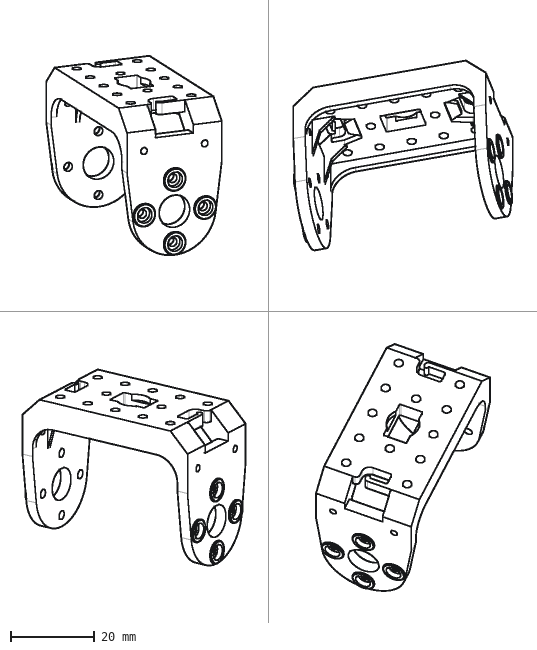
import cadquery as cq
import math

length = 48.8
width = 25.0
height = 37.0

boss_height = 0.4
leg_thickness = 3.0
body_half = length / 2 - boss_height
leg_inner = body_half - leg_thickness
leg_end_radius = 11.0
taper_top = -15.0
pivot_z = leg_end_radius - height
pivot_hole_radius = 4.0

bar_depth = 7.0
plate_thickness = 4.5
inner_corner_radius = 6.0
chamfer_run = 5.0
chamfer_drop = 4.9
plate_edge = body_half - chamfer_run
rim_width = 1.5

window_half = 5.0
gusset_width = 1.0
gusset_angle = 15.0
gusset_break = -8.2

pitch = 8.0
hole_radius = 1.05
small_hole_radius = 0.85
small_hole_z = -9.95
boss_radius = 2.9
boss_chamfer = 0.2
bore_radius = 1.9
bore_depth = 1.4

opening_length = 9.95
opening_width = 6.0
opening_corner = 0.25
recess_radius = 4.0
recess_depth = 1.5

hook_thickness = 3.0
slot_half = 3.5
slot_inner = 14.85
arm_width = 1.15
arm_tip = -2.1
tip_round = 1.0
bead_radius = 0.6
slot_corner = 0.5
slot_round = 2.0
mouth_round = 1.0

pocket_end = 11.2
pocket_flare_angle = 73.0
pad_front_half = 1.85
pad_flare_angle = 60.0
pad_bottom = 3.95


def cylinder_z(x, y, radius, depth):
    return cq.Workplane("XY").center(x, y).circle(radius).extrude(-depth)


def cylinder_x(y, z, radius, start, end):
    return cq.Workplane("YZ", origin=(start, 0, 0)).center(y, z).circle(radius).extrude(end - start)


def both_ends(solid):
    """The solid together with its mirror image across X = 0."""
    return solid.union(solid.mirror("YZ"))


def box(x0, x1, y0, y1, z0, z1):
    return cq.Workplane("XY").box(x1 - x0, y1 - y0, z1 - z0, centered=False).translate((x0, y0, z0))


def extrude_y(profile, y0, y1):
    """Extrude an XZ profile (its workplane normal is -Y) from y0 to y1."""
    return profile.extrude(y0 - y1).translate((0, y0, 0))


def u_profile():
    return (
        cq.Workplane("XZ")
        .moveTo(-body_half, -height)
        .lineTo(-body_half, -chamfer_drop)
        .lineTo(-plate_edge, 0)
        .lineTo(plate_edge, 0)
        .lineTo(body_half, -chamfer_drop)
        .lineTo(body_half, -height)
        .lineTo(leg_inner, -height)
    )


def make_frame():
    """Deep rims along both long sides and a thinner plate between them."""
    bend = inner_corner_radius
    rim_section = (
        u_profile()
        .lineTo(leg_inner, -bar_depth - bend)
        .radiusArc((leg_inner - bend, -bar_depth), -bend)
        .lineTo(bend - leg_inner, -bar_depth)
        .radiusArc((-leg_inner, -bar_depth - bend), -bend)
        .lineTo(-leg_inner, -height)
        .close()
    )
    frame = extrude_y(rim_section, -width / 2, width / 2)
    hollow_half = width / 2 - rim_width
    hollow = box(-leg_inner, leg_inner, -hollow_half, hollow_half, -height, -plate_thickness)
    return frame.cut(hollow)


def leg_outline():
    """Side outline: straight, then tapering tangentially into the round end."""
    half = width / 2
    rise = taper_top - pivot_z
    reach = math.hypot(half, rise)
    angle = math.atan2(rise, half) - math.acos(leg_end_radius / reach)
    tangent_y = leg_end_radius * math.cos(angle)
    tangent_z = pivot_z + leg_end_radius * math.sin(angle)
    return (
        cq.Workplane("YZ", origin=(-length / 2, 0, 0))
        .moveTo(-half, 0)
        .lineTo(-half, taper_top)
        .lineTo(-tangent_y, tangent_z)
        .threePointArc((0, -height), (tangent_y, tangent_z))
        .lineTo(half, taper_top)
        .lineTo(half, 0)
        .close()
        .extrude(length)
    )


def make_gussets():
    break_x = leg_inner - (gusset_break - taper_top) * math.tan(math.radians(gusset_angle))
    top_x = break_x - (-plate_thickness - gusset_break)
    profile = (
        cq.Workplane("XZ")
        .moveTo(leg_inner, taper_top)
        .lineTo(break_x, gusset_break)
        .lineTo(top_x, -plate_thickness)
        .lineTo(leg_inner, -plate_thickness)
        .close()
    )
    gusset = extrude_y(profile, window_half, window_half + gusset_width)
    return both_ends(gusset.union(gusset.mirror("XZ")))


def make_windows():
    """Openings through the bevelled corners, and the tapered pockets below the hooks."""
    window = box(plate_edge, length / 2, -window_half, window_half, -bar_depth, 0)
    pocket_slope = math.tan(math.radians(pocket_flare_angle))
    pad_slope = math.tan(math.radians(pad_flare_angle))
    pocket_taper_start = pocket_end + (window_half - slot_half) * pocket_slope
    pad_front = pocket_end + (slot_half - pad_front_half) * pad_slope
    pocket_depth = plate_thickness - hook_thickness
    pocket = (
        cq.Workplane("XY", origin=(0, 0, -plate_thickness))
        .moveTo(plate_edge, -window_half)
        .lineTo(pocket_taper_start, -window_half)
        .lineTo(pocket_end, -slot_half)
        .lineTo(pocket_end, slot_half)
        .lineTo(pocket_taper_start, window_half)
        .lineTo(plate_edge, window_half)
        .close()
        .extrude(pocket_depth)
    )
    pad = (
        cq.Workplane("XY", origin=(0, 0, -pad_bottom))
        .moveTo(pocket_end, -slot_half)
        .lineTo(pad_front, -pad_front_half)
        .lineTo(pad_front, pad_front_half)
        .lineTo(pocket_end, slot_half)
        .close()
        .extrude(pad_bottom - hook_thickness)
    )
    return both_ends(window.union(pocket.cut(pad)))


def make_hook_slots():
    """Slots opening to the plate edge that leave a springy arm with a small bead at its tip."""
    arm_inner = plate_edge - arm_width
    slot = (
        cq.Workplane("XY")
        .moveTo(slot_inner, slot_half)
        .lineTo(arm_inner, slot_half)
        .lineTo(arm_inner, arm_tip)
        .lineTo(plate_edge - tip_round, arm_tip)
        .radiusArc((plate_edge, arm_tip + tip_round), -tip_round)
        .lineTo(plate_edge, -slot_half - mouth_round)
        .radiusArc((plate_edge - mouth_round, -slot_half), -mouth_round)
        .lineTo(slot_inner + slot_round, -slot_half)
        .radiusArc((slot_inner, -slot_half + slot_round), slot_round)
        .close()
        .extrude(-hook_thickness)
    )
    slot = slot.faces(">Y").edges("|Z").fillet(slot_corner)
    bead = cylinder_z(arm_inner, arm_tip + bead_radius, bead_radius, hook_thickness)
    return both_ends(slot.cut(bead))


def make_central_opening():
    opening = (
        cq.Workplane("XY")
        .rect(opening_length, opening_width)
        .extrude(-plate_thickness)
        .edges("|Z")
        .fillet(opening_corner)
    )
    return opening.union(cylinder_z(0, 0, recess_radius, recess_depth))


boss_positions = [
    (0, pivot_z + pitch),
    (0, pivot_z - pitch),
    (pitch, pivot_z),
    (-pitch, pivot_z),
]
plate_holes = [(column * pitch, row * pitch) for row in (-1, 1) for column in range(-2, 3)]
plate_holes += [(-pitch, 0), (pitch, 0)]

result = make_frame().intersect(leg_outline()).union(make_gussets())
result = result.cut(make_windows()).cut(make_hook_slots()).cut(make_central_opening())

for x, y in plate_holes:
    result = result.cut(cylinder_z(x, y, hole_radius, plate_thickness))

for y, z in boss_positions:
    boss = cylinder_x(y, z, boss_radius, body_half, length / 2).faces(">X").chamfer(boss_chamfer)
    bore = cylinder_x(y, z, bore_radius, length / 2 - bore_depth, length / 2)
    result = result.union(both_ends(boss)).cut(both_ends(bore))
    result = result.cut(cylinder_x(y, z, hole_radius, -length / 2, length / 2))

for y in (-pitch, pitch):
    result = result.cut(cylinder_x(y, small_hole_z, small_hole_radius, -length / 2, length / 2))

result = result.cut(cylinder_x(0, pivot_z, pivot_hole_radius, -length / 2, length / 2))